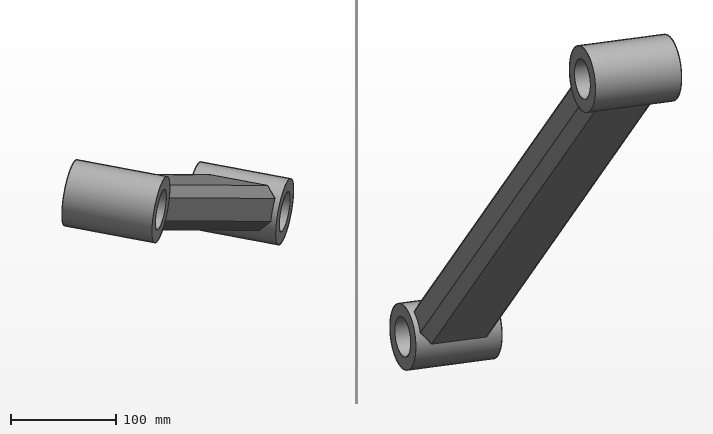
import cadquery as cq

eye_diameter = 64.0
bore_diameter = 39.0
eye_length = 88.5

span_y = 504 - eye_diameter
span_z = 456.5 - eye_diameter
eye_positions = [(-span_y / 2, span_z / 2), (span_y / 2, -span_z / 2)]

bar_length = 589.5
bar_width = 77.5
bar_depth = 43.5
bar_chamfer = 10.5
bar_tilt = 41.6


def eye_cylinders(diameter):
    """Cylinders along X, one at each end of the link."""
    return (
        cq.Workplane("YZ", origin=(-eye_length / 2, 0, 0))
        .pushPoints(eye_positions)
        .circle(diameter / 2)
        .extrude(eye_length)
    )


def bar():
    """Bar with four chamfered long edges, tilted so its -Y end is the high one."""
    flat_bar = cq.Workplane("XY").box(bar_width, bar_length, bar_depth)
    return flat_bar.edges("|Y").chamfer(bar_chamfer).rotate((0, 0, 0), (1, 0, 0), -bar_tilt)


result = bar().union(eye_cylinders(eye_diameter)).cut(eye_cylinders(bore_diameter))